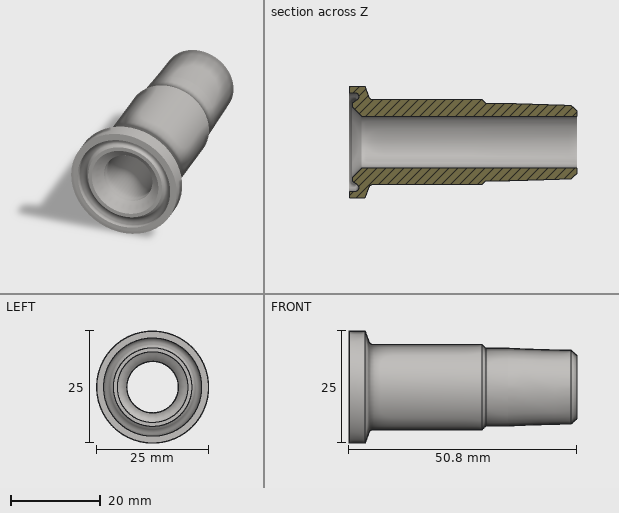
import cadquery as cq
import math

total_length = 50.8

flange_radius = 24.99 / 2
flange_rim_width = 3.6
flange_back_angle = 20.0
flange_root_fillet = 0.84

body_radius = 19.05 / 2
body_end = 29.6
neck_radius = 17.34 / 2
shoulder_length = body_radius - neck_radius

taper_start = 35.5
taper_per_length = 1 / 16
tip_radius = 14.0 / 2
tip_chamfer_length = 1.35

bore_radius = 11.43 / 2
bore_mouth_radius = 15.75 / 2
bore_mouth_depth = 2.85

groove_outer_radius = 21.89 / 2
groove_floor_radius = 0.79
groove_slope_angle = 35.0
lip_radius = 17.5 / 2
lip_recess = 0.73


def revolve_about_x(profile):
    """Revolve a profile of (x, radius) points fully about the X axis."""
    return profile.close().revolve(360, (0, 0, 0), (1, 0, 0))


def outer_body():
    """Flange, body, neck and tapered end as one solid of revolution."""
    slope = math.radians(flange_back_angle)
    fillet_rise = flange_root_fillet * (1 - math.sin(slope))
    fillet_run = flange_root_fillet * math.cos(slope)
    fillet_top_radius = body_radius + fillet_rise
    rim_to_fillet = (flange_radius - fillet_top_radius) * math.tan(slope)
    fillet_start = flange_rim_width + rim_to_fillet

    taper_end = total_length - tip_chamfer_length
    taper_end_radius = neck_radius - (taper_end - taper_start) * taper_per_length / 2

    profile = (
        cq.Workplane("XY")
        .lineTo(0, flange_radius)
        .lineTo(flange_rim_width, flange_radius)
        .lineTo(fillet_start, fillet_top_radius)
        .radiusArc((fillet_start + fillet_run, body_radius), -flange_root_fillet)
        .lineTo(body_end, body_radius)
        .lineTo(body_end + shoulder_length, neck_radius)
        .lineTo(taper_start, neck_radius)
        .lineTo(taper_end, taper_end_radius)
        .lineTo(total_length, tip_radius)
        .lineTo(total_length, 0)
    )
    return revolve_about_x(profile)


def bore():
    """Through bore with a conical mouth that starts at the recessed lip."""
    profile = (
        cq.Workplane("XY")
        .lineTo(0, bore_mouth_radius)
        .lineTo(lip_recess, bore_mouth_radius)
        .lineTo(bore_mouth_depth, bore_radius)
        .lineTo(total_length, bore_radius)
        .lineTo(total_length, 0)
    )
    return revolve_about_x(profile)


def gasket_groove():
    """Ring groove with a straight outer wall, a rounded floor and a sloped inner wall.

    The floor arc is tangent to both walls; the cut also sets the lip back from the face.
    """
    slope = math.radians(groove_slope_angle)
    floor_center_radius = groove_outer_radius - groove_floor_radius
    slope_end_radius = floor_center_radius - groove_floor_radius * math.cos(slope)
    slope_end_depth = lip_recess + (slope_end_radius - lip_radius) / math.tan(slope)
    wall_depth = slope_end_depth - groove_floor_radius * math.sin(slope)
    floor_depth = wall_depth + groove_floor_radius

    profile = (
        cq.Workplane("XY")
        .lineTo(lip_recess, 0)
        .lineTo(lip_recess, lip_radius)
        .lineTo(slope_end_depth, slope_end_radius)
        .threePointArc((floor_depth, floor_center_radius), (wall_depth, groove_outer_radius))
        .lineTo(0, groove_outer_radius)
    )
    return revolve_about_x(profile)


result = outer_body().cut(bore()).cut(gasket_groove())